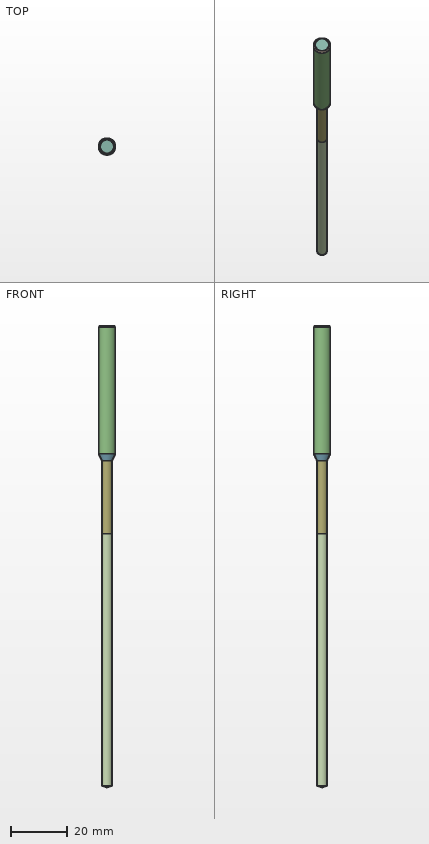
import cadquery as cq
import math

overall_length = 163.65
shank_diameter = 6.0
shank_length = 45.4
shank_chamfer = 0.6
cone_length = 2.5

drill_diameter = 3.6
cutting_length = 90.0
point_angle = 140.0

shank_radius = shank_diameter / 2
drill_radius = drill_diameter / 2
point_height = drill_radius / math.tan(math.radians(point_angle / 2))

shank_bottom = overall_length - shank_length
cone_bottom = shank_bottom - cone_length


def revolve_profile(points):
    """Turn a half outline of (radius, height) points a full circle about the Z axis."""
    return cq.Workplane("XZ").polyline(points).close().revolve(360, (0, 0, 0), (0, 1, 0))


def make_cutting_part():
    """Slender rod with a blunt conical point."""
    return revolve_profile([
        (0, 0),
        (drill_radius, point_height),
        (drill_radius, cutting_length),
        (0, cutting_length),
    ])


def make_shank_part():
    """Neck as thick as the cutting part, widening through a cone into the chamfered shank."""
    return revolve_profile([
        (0, cutting_length),
        (drill_radius, cutting_length),
        (drill_radius, cone_bottom),
        (shank_radius, shank_bottom),
        (shank_radius, overall_length - shank_chamfer),
        (shank_radius - shank_chamfer, overall_length),
        (0, overall_length),
    ])


cutting_part = make_cutting_part()
shank_part = make_shank_part()

result = cq.Compound.makeCompound([cutting_part.val(), shank_part.val()])